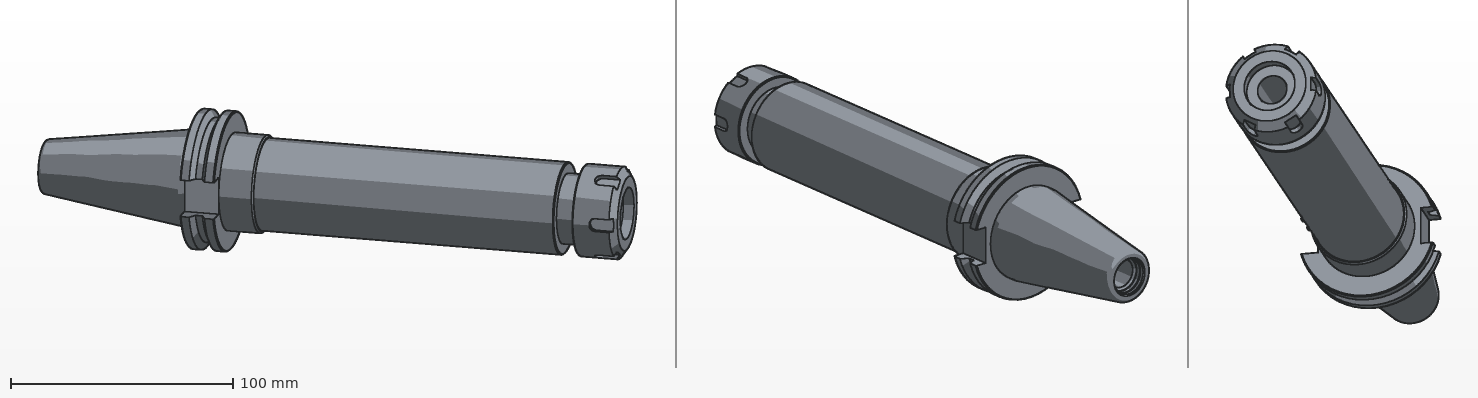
import cadquery as cq
import math


gauge_diameter = 44.45
taper_length = 68.25
taper_ratio = 7 / 24
small_end_diameter = gauge_diameter - taper_ratio * taper_length
small_end_fillet = 2.0

flange_diameter = 63.5
flange_start = 3.18
flange_end = 19.05
flange_chamfer = 0.5
groove_center = 11.05
groove_floor_diameter = 56.5
groove_opening = 7.2
groove_half_angle = 30

drive_slot_width = 17.15
front_slot_floor = 22.6
back_slot_floor = 25.0

collar_diameter = gauge_diameter
collar_end = 35.0
collar_chamfer = 0.8
body_diameter = 42.0
body_end = 174.6
body_chamfer = 0.5
neck_diameter = 32.0

socket_mouth_diameter = 18.0
relief_diameter = 16.8
relief_depth = 2.4
pilot_diameter = 16.3
pilot_depth = 4.8
bore_diameter = 13.49
thread_entry_diameter = 15.75

nut_diameter = body_diameter
nut_start = 183.1
nut_end = 203.2
nut_rear_chamfer = 0.5
nut_face_diameter = 33.72
nut_nose_length = 2.85
nut_mouth_diameter = 23.5
nut_wall = 5.0
neck_end = nut_end - nut_wall

spanner_slot_count = 6
spanner_slot_width = 6.0
spanner_slot_start = 191.1
spanner_slot_corner = 2.95
spanner_slot_floor = 18.7


def revolve_profile(points):
    """Turn a closed (x, radius) outline around the X axis."""
    return cq.Workplane("XY").polyline(points).close().revolve(360, (0, 0, 0), (1, 0, 0))


def make_shank():
    """Taper, collar, body and neck as one turned shape."""
    shank = revolve_profile([
        (-taper_length, 0),
        (-taper_length, small_end_diameter / 2),
        (0, gauge_diameter / 2),
        (collar_end - collar_chamfer, collar_diameter / 2),
        (collar_end, collar_diameter / 2 - collar_chamfer),
        (collar_end, body_diameter / 2),
        (body_end - body_chamfer, body_diameter / 2),
        (body_end, body_diameter / 2 - body_chamfer),
        (body_end, neck_diameter / 2),
        (neck_end, neck_diameter / 2),
        (neck_end, 0),
    ])
    return shank.faces("<X").edges().fillet(small_end_fillet)


def make_flange():
    """Grooved ring with two drive slots, wrapped around the shank."""
    groove_depth = (flange_diameter - groove_floor_diameter) / 2
    groove_flank = groove_depth * math.tan(math.radians(groove_half_angle))
    half_opening = groove_opening / 2
    half_floor = half_opening - groove_flank
    rim = flange_diameter / 2
    floor = groove_floor_diameter / 2
    flange = revolve_profile([
        (flange_start, 0),
        (flange_start, rim - flange_chamfer),
        (flange_start + flange_chamfer, rim),
        (groove_center - half_opening, rim),
        (groove_center - half_floor, floor),
        (groove_center + half_floor, floor),
        (groove_center + half_opening, rim),
        (flange_end - flange_chamfer, rim),
        (flange_end, rim - flange_chamfer),
        (flange_end, 0),
    ])
    for side, slot_floor in ((-1, front_slot_floor), (1, back_slot_floor)):
        slot = cq.Workplane("XY").box(
            flange_end - flange_start, flange_diameter, drive_slot_width
        ).translate((
            (flange_start + flange_end) / 2,
            side * (slot_floor + flange_diameter / 2),
            0,
        ))
        flange = flange.cut(slot)
    return flange


def make_socket():
    """Through bore with a countersunk mouth, relief, pull-stud pilot and thread entry cone."""
    mouth = -taper_length
    pilot_end = mouth + pilot_depth
    relief_end = mouth + relief_depth
    mouth_chamfer = (socket_mouth_diameter - relief_diameter) / 2
    relief_chamfer = (relief_diameter - pilot_diameter) / 2
    entry_chamfer = (thread_entry_diameter - bore_diameter) / 2
    return revolve_profile([
        (mouth, 0),
        (mouth, socket_mouth_diameter / 2),
        (mouth + mouth_chamfer, relief_diameter / 2),
        (relief_end, relief_diameter / 2),
        (relief_end + relief_chamfer, pilot_diameter / 2),
        (pilot_end, pilot_diameter / 2),
        (pilot_end, thread_entry_diameter / 2),
        (pilot_end + entry_chamfer, bore_diameter / 2),
        (neck_end, bore_diameter / 2),
        (neck_end, 0),
    ])


def make_spanner_slot():
    """Cutter for one spanner slot on the -Y side, with a rounded closed end."""
    overrun = spanner_slot_width
    length = nut_end - spanner_slot_start + overrun
    depth = nut_diameter / 2 - spanner_slot_floor
    return (
        cq.Workplane("XZ", origin=(spanner_slot_start + length / 2, -spanner_slot_floor, 0))
        .rect(length, spanner_slot_width)
        .extrude(depth)
        .edges("|Y and <X")
        .fillet(spanner_slot_corner)
    )


def make_nut():
    """Ring around the neck with a conical nose, a front wall and spanner slots."""
    nut = revolve_profile([
        (nut_start, neck_diameter / 2),
        (nut_start, nut_diameter / 2 - nut_rear_chamfer),
        (nut_start + nut_rear_chamfer, nut_diameter / 2),
        (nut_end - nut_nose_length, nut_diameter / 2),
        (nut_end, nut_face_diameter / 2),
        (nut_end, nut_mouth_diameter / 2),
        (neck_end, nut_mouth_diameter / 2),
        (neck_end, neck_diameter / 2),
    ])
    slot = make_spanner_slot()
    for index in range(spanner_slot_count):
        angle = index * 360 / spanner_slot_count
        nut = nut.cut(slot.rotate((0, 0, 0), (1, 0, 0), angle))
    return nut


holder = make_shank().union(make_flange()).cut(make_socket())
nut = make_nut()

result = cq.Compound.makeCompound([holder.val(), nut.val()])